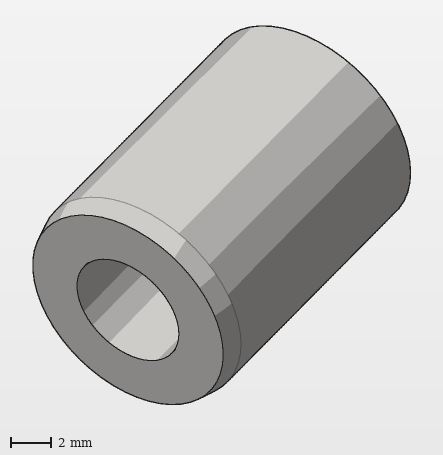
import cadquery as cq
import math

length = 16.0
outer_diameter = 12.0
bore_diameter = 6.1
taper_length = 1.12
taper_angle = 15.0

outer_radius = outer_diameter / 2
bore_radius = bore_diameter / 2
tip_radius = outer_radius - taper_length * math.tan(math.radians(taper_angle))
front_y = -length / 2
back_y = length / 2

wall_section = (
    cq.Workplane("XY")
    .moveTo(bore_radius, front_y)
    .lineTo(tip_radius, front_y)
    .lineTo(outer_radius, front_y + taper_length)
    .lineTo(outer_radius, back_y)
    .lineTo(bore_radius, back_y)
    .close()
)

result = wall_section.revolve(360, (0, 0, 0), (0, 1, 0))